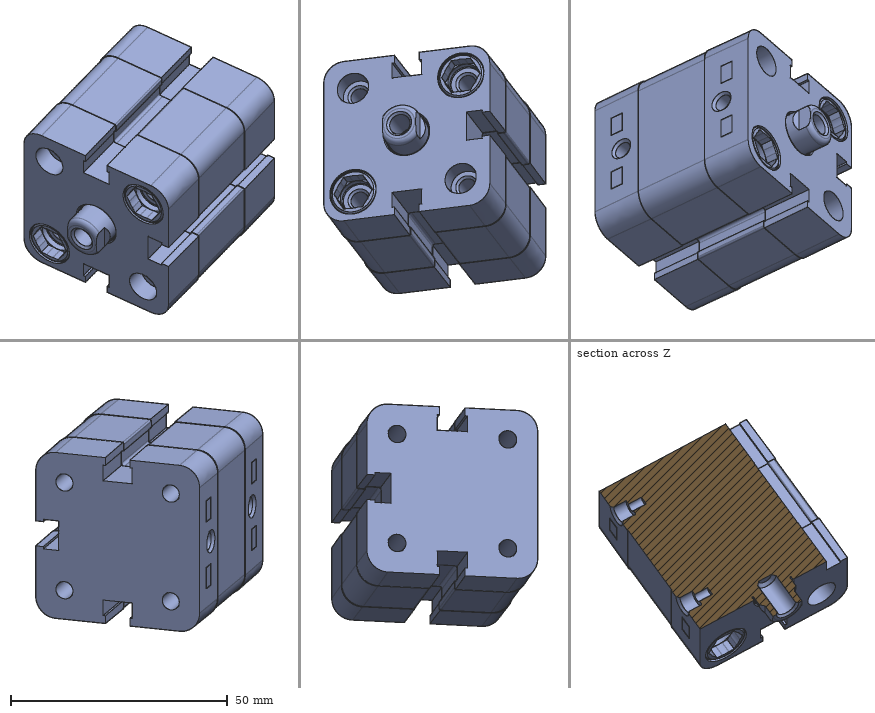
import cadquery as cq
import math


cap_width = 40.3
cap_length = 12.5
cap_draft = 0.5
barrel_width = 40.0
barrel_length = 19.0
corner_radius = 5.0
body_length = 2 * cap_length + barrel_length

slot_angles = (0, 90, 180)
cap_slot_floor = 14.4
cap_slot_mouth = 6.0
cap_slot_width = 7.1
cap_lip_underside = 18.15
barrel_slot_floor = 14.35
barrel_slot_mouth = 5.6
barrel_slot_width = 6.8
barrel_lip_underside = 18.0
barrel_mouth_fillet = 0.4
barrel_lip_fillet = 0.2
barrel_floor_fillet = 0.7

rod_diameter = 10.0
rod_reach = 6.0
rod_end_fillet = 1.25
rod_flat_width = 8.0
rod_flat_length = 3.35
rod_bore_diameter = 4.9
rod_bore_mouth = 6.0
rod_bore_depth = 9.0
rod_bore_floor = 3.3
rod_gap_mouth = 11.1
rod_gap_diameter = 10.5
rod_gap_depth = 1.0

thread_diameter = 4.15

corner_pitch = 26.0
corner_countersink = 5.25
counterbore_diameter = 7.5
counterbore_depth = 4.75

nut_recess_diameter = 11.1
nut_diameter = 10.8
nut_face_diameter = 10.0
nut_inset = 0.15
nut_groove_depth = 0.55
hex_across_flats = 8.0
hex_relief_diameter = 8.2
hex_depth = 3.1
nut_bore_diameter = 8.0
nut_bore_depth = 4.6

port_inset = 7.6
port_countersink = 5.5
port_thread_depth = 4.0
port_channel_diameter = 2.0
port_total_depth = 7.5
panel_inset = 6.25
panel_height = 8.05
panel_length = 3.15
panel_width = 5.1
panel_depth = 0.1


def turned(profile, x=0, z=0):
    """Solid of revolution about a line parallel to Y; the profile is (radius, y) points."""
    return (
        cq.Workplane("XY").polyline(profile).close()
        .revolve(360, (0, 0, 0), (0, 1, 0))
        .translate((x, 0, z))
    )


def rounded_square(width, y, radius):
    """Rounded square sketch on a plane at y, facing -Y."""
    sketch = cq.Sketch().rect(width, width).vertices().fillet(radius)
    return cq.Workplane("XZ", origin=(0, y, 0)).placeSketch(sketch)


def cut_slots(body, start, length, floor, mouth, width, lip_underside):
    """Cut the three T-slots into a part of the housing."""
    undercut = cq.Workplane("XY").box(
        width, length, lip_underside - floor, centered=(True, False, False)
    )
    opening = cq.Workplane("XY").box(
        mouth, length, cap_width - floor, centered=(True, False, False)
    )
    slot = undercut.union(opening).translate((0, start, floor))
    for angle in slot_angles:
        body = body.cut(slot.rotate((0, 0, 0), (0, 1, 0), angle))
    return body


def fillet_slots(barrel, offset, distance, radius):
    """Round two edges of each barrel slot, at an offset from its centre and a distance from the axis."""
    middle = cap_length + barrel_length / 2
    for side in (-offset, offset):
        for x, z in ((side, distance), (side, -distance), (distance, side)):
            edge = cq.selectors.NearestToPointSelector((x, middle, z))
            barrel = barrel.edges("|Y").edges(edge).fillet(radius)
    return barrel


def make_cap():
    """Front cap, narrowing slightly towards its outer face."""
    cap = rounded_square(cap_width, cap_length, corner_radius).extrude(cap_length, taper=cap_draft)
    return cut_slots(
        cap, 0, cap_length, cap_slot_floor, cap_slot_mouth, cap_slot_width, cap_lip_underside
    )


def make_barrel():
    """Barrel with rounded edges along the slot mouths, lips and floors."""
    barrel_end = cap_length + barrel_length
    barrel = rounded_square(barrel_width, barrel_end, corner_radius).extrude(barrel_length)
    barrel = cut_slots(
        barrel, cap_length, barrel_length,
        barrel_slot_floor, barrel_slot_mouth, barrel_slot_width, barrel_lip_underside,
    )
    barrel = fillet_slots(barrel, barrel_slot_mouth / 2, barrel_width / 2, barrel_mouth_fillet)
    barrel = fillet_slots(barrel, barrel_slot_mouth / 2, barrel_lip_underside, barrel_lip_fillet)
    return fillet_slots(barrel, barrel_slot_width / 2, barrel_slot_floor, barrel_floor_fillet)


def make_rod():
    """Piston rod with two wrench flats that run out at 45 degrees."""
    radius = rod_diameter / 2
    rod = (
        cq.Workplane("XZ", origin=(0, rod_gap_depth, 0))
        .circle(radius).extrude(rod_gap_depth + rod_reach)
        .faces("<Y").edges().fillet(rod_end_fillet)
    )
    flat_end = rod_flat_length - rod_reach
    half_flat = rod_flat_width / 2
    run_out = radius - half_flat
    flat = (
        cq.Workplane("XY")
        .polyline([
            (half_flat, -rod_reach),
            (half_flat, flat_end),
            (radius, flat_end + run_out),
            (rod_diameter, flat_end + run_out),
            (rod_diameter, -rod_reach),
        ])
        .close().extrude(radius, both=True)
    )
    return rod.cut(flat).cut(flat.mirror("YZ"))


def rod_bore():
    """Threaded bore of the rod with a chamfered mouth and a conical end."""
    bore = rod_bore_diameter / 2
    mouth = rod_bore_mouth / 2
    floor = rod_bore_floor / 2
    bottom = rod_bore_depth - rod_reach
    return turned([
        (0, -rod_reach),
        (mouth, -rod_reach),
        (bore, mouth - bore - rod_reach),
        (bore, bottom),
        (floor, bottom + bore - floor),
        (0, bottom + bore - floor),
    ])


def rod_gap():
    """Clearance around the rod with a chamfered mouth."""
    mouth = rod_gap_mouth / 2
    gap = rod_gap_diameter / 2
    return turned([(0, 0), (mouth, 0), (gap, mouth - gap), (gap, rod_gap_depth), (0, rod_gap_depth)])


def corner_hole(x, z):
    """Counterbored through hole with a countersunk thread."""
    wide = counterbore_diameter / 2
    mouth = corner_countersink / 2
    thread = thread_diameter / 2
    return turned([
        (0, 0),
        (wide, 0),
        (wide, counterbore_depth),
        (mouth, counterbore_depth),
        (thread, counterbore_depth + mouth - thread),
        (thread, body_length),
        (0, body_length),
    ], x, z)


def nut_socket(x, z):
    """Hexagon socket with relieved flats, and the bore below it."""
    hex_corners = hex_across_flats / math.cos(math.pi / 6)
    front = cq.Workplane("XZ", origin=(x, 0, z))
    hexagon = front.polygon(6, hex_corners).extrude(-hex_depth)
    relief = front.circle(hex_relief_diameter / 2).extrude(-hex_depth)
    bore = nut_bore_diameter / 2
    inner = counterbore_diameter / 2
    lower_bore = turned([
        (0, 0), (bore, 0), (bore, nut_bore_depth), (inner, counterbore_depth), (0, counterbore_depth)
    ], x, z)
    return hexagon.union(relief).union(lower_bore)


def nut_recess(x, z):
    """Recess over the nut, with a groove between its wall and the chamfered rim of the nut."""
    wall = nut_recess_diameter / 2
    return turned([
        (0, 0),
        (wall, 0),
        (wall, nut_groove_depth),
        (nut_diameter / 2, nut_groove_depth),
        (nut_face_diameter / 2, nut_inset),
        (0, nut_inset),
    ], x, z)


def air_port(y):
    """Countersunk port thread on the -X side with a narrow channel behind it."""
    mouth = port_countersink / 2
    thread = thread_diameter / 2
    channel = port_channel_diameter / 2
    return turned([
        (0, 0),
        (mouth, 0),
        (thread, mouth - thread),
        (thread, port_thread_depth),
        (channel, port_thread_depth),
        (channel, port_total_depth),
        (0, port_total_depth),
    ]).rotate((0, 0, 0), (0, 0, 1), -90).translate((-cap_width / 2, y, 0))


front_cap = make_cap()
rear_cap = front_cap.mirror("XZ", (0, body_length / 2, 0))
result = front_cap.union(make_barrel()).union(rear_cap)

result = result.cut(rod_gap()).union(make_rod()).cut(rod_bore())

corner = corner_pitch / 2
for x in (-corner, corner):
    for z in (-corner, corner):
        result = result.cut(corner_hole(x, z))
for place in (-corner, corner):
    result = result.cut(nut_socket(place, place)).cut(nut_recess(place, place))

for y in (port_inset, body_length - port_inset):
    result = result.cut(air_port(y))

panel_draft = (cap_length - panel_inset) * math.tan(math.radians(cap_draft))
for y in (panel_inset, body_length - panel_inset):
    for z in (-panel_height, panel_height):
        panel = cq.Workplane("XY").box(2 * (panel_draft + panel_depth), panel_length, panel_width)
        result = result.cut(panel.translate((-cap_width / 2, y, z)))